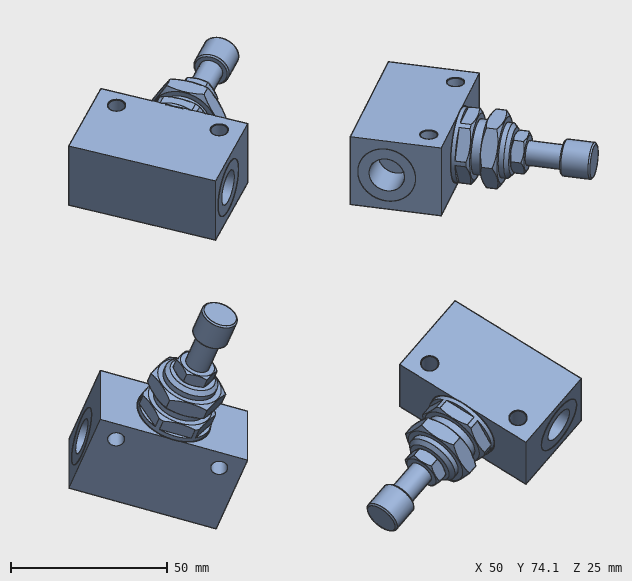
import cadquery as cq
import math

body_width = 50.0
body_depth = 30.0
body_height = 25.0

port_y = 12.0
port_diameter = 11.6
port_depth = 12.0

recess_depth = 0.15
port_recess_diameter = 19.05
collar_recess_diameter = 25.05

mount_spacing = 35.0
mount_y = 24.0
mount_diameter = 5.4
mount_chamfer = 0.2
mount_chamfer_angle = 90.0

collar_length = 1.3
base_hex_length = 4.45
neck_length = 3.3
lock_nut_length = 5.6
tip_length = 3.1
stem_nut_length = 4.5
stem_length = 11.7
total_depth = 74.1

collar_diameter = 24.5
hex_across_flats = 22.0
thread_diameter = 18.0
thread_chamfer = 1.3
stem_nut_across_flats = 12.0
stem_diameter = 8.0
knob_diameter = 12.0
knob_chamfer = 0.5

hex_cone_angle = 30.0
hex_cone_inset = 0.2

base_hex_y = body_depth + collar_length
neck_y = base_hex_y + base_hex_length
lock_nut_y = neck_y + neck_length
tip_y = lock_nut_y + lock_nut_length
stem_nut_y = tip_y + tip_length
stem_y = stem_nut_y + stem_nut_length
knob_y = stem_y + stem_length


def plane_at(y):
    """Plane facing +Y at the given distance along the adjuster axis."""
    return cq.Plane(origin=(0, y, 0), xDir=(1, 0, 0), normal=(0, 1, 0))


def rod(y_start, y_end, diameter):
    return cq.Workplane(plane_at(y_start)).circle(diameter / 2).extrude(y_end - y_start)


def across_corners(across_flats):
    return across_flats / math.cos(math.pi / 6)


def turned_hexagon(y, length, across_flats, outer_diameter, cone_at_start):
    """Hexagon with flats facing +Z and -Z, cut to a turned outline with conical ends."""
    prism = cq.Workplane(plane_at(y)).polygon(6, across_corners(across_flats)).extrude(length)
    outer_radius = outer_diameter / 2
    end_radius = across_flats / 2 - hex_cone_inset
    drop = (outer_radius - end_radius) * math.tan(math.radians(hex_cone_angle))
    outline = cq.Workplane("XY").moveTo(0, y)
    if cone_at_start:
        outline = outline.lineTo(end_radius, y).lineTo(outer_radius, y + drop)
    else:
        outline = outline.lineTo(outer_radius, y)
    outline = (
        outline.lineTo(outer_radius, y + length - drop)
        .lineTo(end_radius, y + length)
        .lineTo(0, y + length)
        .close()
    )
    return prism.intersect(outline.revolve(360, (0, 0, 0), (0, 1, 0)))


def make_body():
    body = cq.Workplane("XY").box(body_width, body_depth, body_height).translate((0, body_depth / 2, 0))
    for side in (-1, 1):
        face = cq.Plane(origin=(side * body_width / 2, port_y, 0), xDir=(0, 1, 0), normal=(-side, 0, 0))
        body = body.cut(cq.Workplane(face).circle(port_recess_diameter / 2).extrude(recess_depth))
        body = body.cut(cq.Workplane(face).circle(port_diameter / 2).extrude(port_depth))
    body = body.cut(rod(body_depth - recess_depth, body_depth, collar_recess_diameter))
    top = body.faces(">Z").workplane(origin=(0, mount_y, 0))
    return top.pushPoints([(-mount_spacing / 2, 0), (mount_spacing / 2, 0)]).cskHole(
        mount_diameter, mount_diameter + 2 * mount_chamfer, mount_chamfer_angle
    )


def make_adjuster():
    collar = rod(body_depth - recess_depth, base_hex_y, collar_diameter)
    base_hex = turned_hexagon(base_hex_y, base_hex_length, hex_across_flats, collar_diameter, False)
    thread = rod(neck_y, stem_nut_y, thread_diameter).faces(">Y").chamfer(thread_chamfer)
    lock_nut = turned_hexagon(
        lock_nut_y, lock_nut_length, hex_across_flats, across_corners(hex_across_flats), True
    )
    stem_nut = turned_hexagon(
        stem_nut_y, stem_nut_length, stem_nut_across_flats, across_corners(stem_nut_across_flats), True
    )
    stem = rod(stem_y, knob_y, stem_diameter)
    knob = rod(knob_y, total_depth, knob_diameter).faces("<Y or >Y").chamfer(knob_chamfer)
    adjuster = collar
    for section in (base_hex, thread, lock_nut, stem_nut, stem, knob):
        adjuster = adjuster.union(section)
    return adjuster


result = make_body().union(make_adjuster())